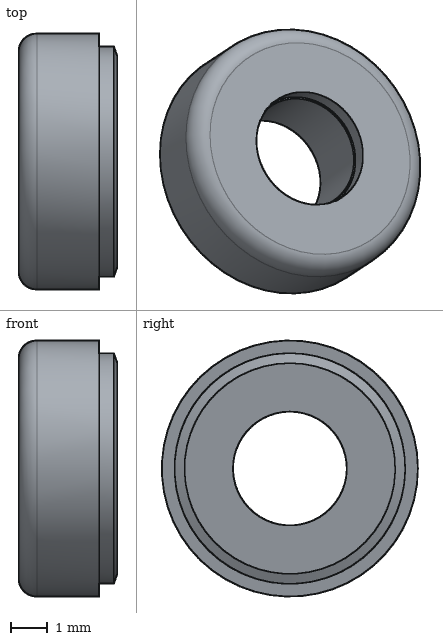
import cadquery as cq

outer_diameter = 7.0
overall_width = 2.7
cap_width = 2.2
cap_floor = 0.5
cap_rounding = 0.5
cap_hole_diameter = 3.2
insert_diameter = 6.3
insert_bore_diameter = 3.1
chamfer_length = 0.1
chamfer_depth = 0.27

front_x = -overall_width / 2
rear_x = overall_width / 2
floor_x = front_x + cap_floor


def cylinder(diameter, start_x, end_x):
    """Solid cylinder centred on the X axis."""
    return cq.Workplane("YZ", origin=(start_x, 0, 0)).circle(diameter / 2).extrude(end_x - start_x)


def make_cap():
    """Cup with a rounded front edge, a hole in its floor and a recess for the insert."""
    cap_rear_x = front_x + cap_width
    shell = cylinder(outer_diameter, front_x, cap_rear_x)
    shell = shell.faces("<X").edges().fillet(cap_rounding)
    hole = cylinder(cap_hole_diameter, front_x, cap_rear_x)
    recess = cylinder(insert_diameter, floor_x, cap_rear_x)
    return shell.cut(hole).cut(recess)


def make_insert():
    """Bored ring seated on the cap's floor, with a steep chamfer on its protruding end."""
    bore_radius = insert_bore_diameter / 2
    outer_radius = insert_diameter / 2
    return (
        cq.Workplane("XZ")
        .moveTo(floor_x, bore_radius)
        .lineTo(floor_x, outer_radius)
        .lineTo(rear_x - chamfer_length, outer_radius)
        .lineTo(rear_x, outer_radius - chamfer_depth)
        .lineTo(rear_x, bore_radius)
        .close()
        .revolve(360, (0, 0, 0), (1, 0, 0))
    )


cap = make_cap()
insert = make_insert()
result = cq.Compound.makeCompound([cap.val(), insert.val()])